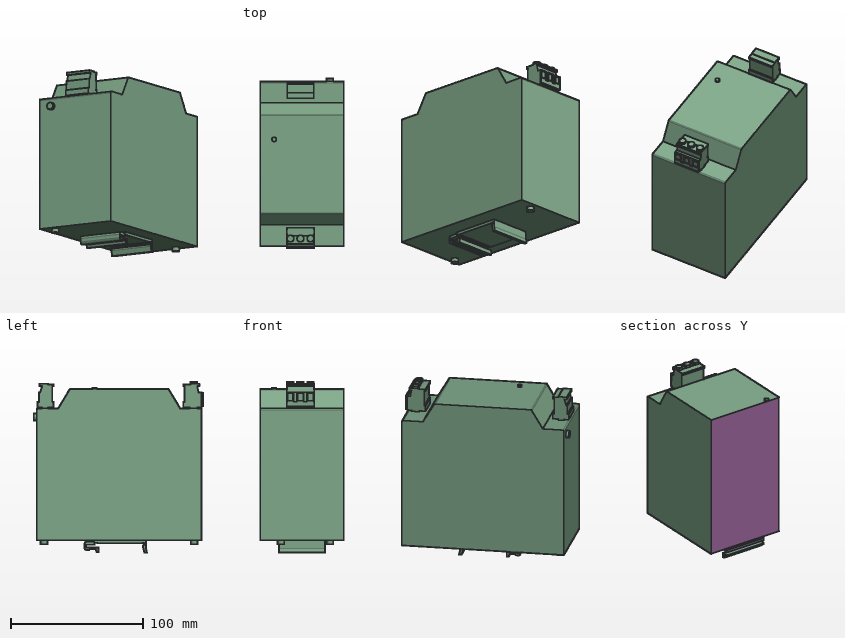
import cadquery as cq

housing_width = 63.5
housing_length = 125.0
step_height = 100.0
housing_height = 114.7
crown_foot_length = 92.4
crown_top_length = 74.8
edge_radius = 1.0
front_y = -housing_length / 2
back_y = housing_length / 2

side_offset = 21.1
led_diameter = 3.4
led_height = 1.0
led_y = 18.6
knob_diameter = 5.4
back_knob_length = 2.3
back_knob_z = 93.4
foot_height = 3.0
foot_places = [(-16.0, -56.7), (side_offset, 57.0)]

plug_x = -1.2
plug_bottom = step_height + 0.7
plug_foot_top = 104.9
plug_ledge = 112.0
flange_bottom = 116.7
flange_top = 118.2
plug_top = 118.6

front_plug_width = 20.7
flange_tip_chamfer = 0.4
pole_count = 3
pole_pitch = 7.62
screw_diameter = 5.2
screw_top = 120.1
screw_y = -56.5

back_plug_width = 20.3

cover_gap = 0.72
cover_thickness = 0.5
cover_bottom = 101.4
cover_top = 111.8
window_width = 4.0
window_bottom = 105.9
window_top = 111.3
slot_width = 2.3
slot_bottom = 104.9

clip_width = 35.0
clip_bottom = -9.4


def extrude_along_x(outline, width, centre_x):
    """Extrude a closed (y, z) outline to a width centred on centre_x."""
    return outline.close().extrude(width / 2, both=True).translate((centre_x, 0, 0))


def row_positions(count):
    """X places of a row of items at the pole pitch, centred on the plug."""
    return [plug_x + (i - (count - 1) / 2) * pole_pitch for i in range(count)]


def make_cylinder(diameter, start, direction, length):
    """Cylinder standing on the point start and running along direction."""
    cylinder = cq.Solid.makeCylinder(diameter / 2, length, cq.Vector(*start), cq.Vector(*direction))
    return cq.Workplane(cylinder)


def make_shell():
    """Block with a raised crown; the outer edges of step and crown are rounded."""
    crown_foot_y = crown_foot_length / 2
    crown_top_y = crown_top_length / 2
    outline = cq.Workplane("YZ").polyline([
        (front_y, 0),
        (back_y, 0),
        (back_y, step_height),
        (crown_foot_y, step_height),
        (crown_top_y, housing_height),
        (-crown_top_y, housing_height),
        (-crown_foot_y, step_height),
        (front_y, step_height),
    ])
    shell = extrude_along_x(outline, housing_width, 0)
    rounded_edges = [
        (front_y, step_height),
        (back_y, step_height),
        (-crown_top_y, housing_height),
        (crown_top_y, housing_height),
    ]
    for y, z in rounded_edges:
        edge = cq.selectors.NearestToPointSelector((0, y, z))
        shell = shell.edges(edge).fillet(edge_radius)
    return shell


def make_front_plug():
    """Plug with clamping screws on top and a ledge facing -Y."""
    heel_y = -48.4
    body_back_y = -49.4
    neck_back_y = -53.3
    pad_back_y = -54.2
    neck_front_y = -59.2
    slope_foot_y = -60.2
    flange_tip_y = -60.9
    chamfer_start_y = flange_tip_y + flange_tip_chamfer
    outline = cq.Workplane("YZ").polyline([
        (neck_back_y, step_height),
        (neck_back_y, plug_bottom),
        (heel_y, plug_bottom),
        (heel_y, plug_foot_top),
        (body_back_y, plug_foot_top),
        (body_back_y, flange_bottom),
        (heel_y, flange_bottom),
        (heel_y, flange_top),
        (pad_back_y, flange_top),
        (pad_back_y, plug_top),
        (chamfer_start_y, plug_top),
        (flange_tip_y, plug_top - flange_tip_chamfer),
        (flange_tip_y, flange_bottom + flange_tip_chamfer),
        (chamfer_start_y, flange_bottom),
        (neck_front_y, flange_bottom),
        (slope_foot_y, plug_ledge),
        (front_y, plug_ledge),
        (front_y, plug_bottom),
        (neck_front_y, plug_bottom),
        (neck_front_y, step_height),
    ])
    plug = extrude_along_x(outline, front_plug_width, plug_x)
    for x in row_positions(pole_count):
        screw_base = (x, screw_y, flange_top)
        plug = plug.union(make_cylinder(screw_diameter, screw_base, (0, 0, 1), screw_top - flange_top))
    return plug


def make_back_plug():
    """Plug without screws, its sloped side facing +Y."""
    heel_y = 49.6
    body_front_y = 50.6
    neck_front_y = 53.8
    neck_back_y = 58.5
    slope_foot_y = 60.0
    flange_tip_y = 60.4
    body_back_y = 60.9
    toe_y = 61.9
    outline = cq.Workplane("YZ").polyline([
        (neck_front_y, step_height),
        (neck_front_y, plug_bottom),
        (heel_y, plug_bottom),
        (heel_y, plug_foot_top),
        (body_front_y, plug_foot_top),
        (body_front_y, flange_bottom),
        (heel_y, flange_bottom),
        (heel_y, flange_top),
        (neck_front_y, flange_top),
        (neck_front_y, plug_top),
        (flange_tip_y, plug_top),
        (flange_tip_y, flange_bottom),
        (neck_back_y, flange_bottom),
        (slope_foot_y, plug_ledge),
        (body_back_y, plug_ledge),
        (body_back_y, plug_foot_top),
        (toe_y, plug_foot_top),
        (toe_y, plug_bottom),
        (neck_back_y, plug_bottom),
        (neck_back_y, step_height),
    ])
    return extrude_along_x(outline, back_plug_width, plug_x)


def make_rail_clip():
    """Rail clip: a flat web with a sprung hook at +Y and a fixed claw at -Y."""
    web_front_y = -20.3
    web_back_y = 19.1
    web_bottom = -2.4
    hook_back_y = 26.4
    hook_top = -1.0
    hook_bottom = -7.4
    hook_bend_radius = 1.9
    hook_bend_y = hook_back_y - hook_bend_radius
    hook_bulge_y = 22.8
    gap_back_y = 24.9
    gap_top = -3.4
    gap_bottom = -5.4
    arm_front_y = 18.6
    arm_root_y = 16.6
    arm_root_z = -2.0
    lip_front_y = 15.6
    lip_bottom = -8.9
    lip_width = 1.6
    spring_underside = -6.7
    lip_flare = 0.8
    relief_start_y = -17.4
    relief_middle = (-18.4, -2.1)
    relief_end = (-19.0, -3.1)
    claw_nose_y = -18.0
    claw_nose_top = -4.0
    claw_nose_bottom = -5.2
    claw_bend = -5.9
    claw_tip_back_y = -19.0
    claw_tip_front_y = -21.1

    outline = (
        cq.Workplane("YZ")
        .moveTo(web_front_y, 0)
        .lineTo(web_back_y, 0)
        .lineTo(web_back_y, hook_top)
        .lineTo(hook_bend_y, hook_top)
        .radiusArc((hook_back_y, hook_top - hook_bend_radius), hook_bend_radius)
        .lineTo(hook_back_y, hook_bottom + hook_bend_radius)
        .radiusArc((hook_bend_y, hook_bottom), hook_bend_radius)
        .lineTo(hook_bulge_y, hook_bottom)
        .lineTo(hook_bulge_y - lip_flare, spring_underside)
        .lineTo(lip_front_y + lip_width + lip_flare, spring_underside)
        .lineTo(lip_front_y + lip_width, lip_bottom)
        .lineTo(lip_front_y, lip_bottom)
        .lineTo(lip_front_y, gap_bottom)
        .lineTo(gap_back_y, gap_bottom)
        .lineTo(gap_back_y, gap_top)
        .lineTo(arm_front_y, gap_top)
        .lineTo(arm_front_y, arm_root_z)
        .lineTo(arm_root_y, arm_root_z)
        .lineTo(arm_root_y, web_bottom)
        .lineTo(relief_start_y, web_bottom)
        .threePointArc(relief_middle, relief_end)
        .lineTo(claw_nose_y, claw_nose_top)
        .lineTo(claw_nose_y, claw_nose_bottom)
        .lineTo(claw_tip_back_y, clip_bottom)
        .lineTo(claw_tip_front_y, clip_bottom)
        .lineTo(web_front_y, claw_bend)
    )
    return extrude_along_x(outline, clip_width, 0)


def make_housing():
    """Housing body with its plugs, rail clip, LED, back knob and feet."""
    body = make_shell()
    body = body.union(make_front_plug())
    body = body.union(make_back_plug())
    body = body.union(make_rail_clip())
    led_base = (-side_offset, led_y, housing_height)
    body = body.union(make_cylinder(led_diameter, led_base, (0, 0, 1), led_height))
    knob_base = (side_offset, back_y, back_knob_z)
    body = body.union(make_cylinder(knob_diameter, knob_base, (0, 1, 0), back_knob_length))
    for x, y in foot_places:
        body = body.union(make_cylinder(knob_diameter, (x, y, 0), (0, 0, -1), foot_height))
    return body


def make_cover_plate():
    """Thin plate with a window per pole and open-topped slots between the windows."""
    cover_front_y = front_y - cover_gap - cover_thickness

    def slab(x, width, bottom, top):
        box = cq.Workplane("XY").box(width, cover_thickness, top - bottom, centered=(True, False, False))
        return box.translate((x, cover_front_y, bottom))

    plate = slab(plug_x, front_plug_width, cover_bottom, cover_top)
    for x in row_positions(pole_count):
        plate = plate.cut(slab(x, window_width, window_bottom, window_top))
    for x in row_positions(pole_count - 1):
        plate = plate.cut(slab(x, slot_width, slot_bottom, cover_top))
    return plate


housing = make_housing()
cover_plate = make_cover_plate()

result = cq.Compound.makeCompound([housing.solids().val(), cover_plate.solids().val()])